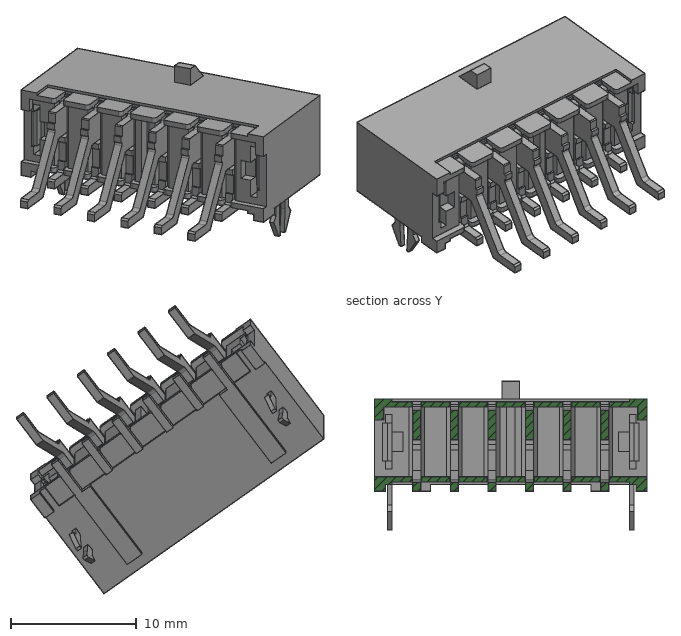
import cadquery as cq
import math


body_width = 21.7
body_depth = 9.87
body_top = 7.35
standoff = 0.52
half_width = body_width / 2

lip_depth = 0.52
wall_bottom = 1.17
wall_top = 6.7
wall_half_width = 10.11
side_notch_top = 5.66
rear_depth = 1.9
slot_depth = 1.85
recess_height = 0.22
recess_half_width = 9.45

pin_count = 6
pin_pitch = 3.0
pin_width = 0.65
pin_tip_chamfer = 0.15
foot_height = 0.74
pin_centres = [(i - (pin_count - 1) / 2) * pin_pitch for i in range(pin_count)]
slot_flare = 0.3

upper_reach = 6.03
upper_bottom = 4.1
upper_top = 6.47
upper_head_end = 1.17
upper_head_chamfer = 0.09
upper_bump_end = 1.39
upper_neck_end = 1.24
upper_bump_bottom = 5.08
upper_bump_top = 5.6
upper_neck_bottom = 4.9
leg_slope = math.radians(56.3)
leg_heel = 3.36
bend_radius = 0.43
neck_radius = 0.33
crown_height = 6.77
crown_start = 1.02
crown_radius = 0.13
crown_end = 1.67
root_height = 6.92

lower_reach = 1.35
lower_top = 3.73
lower_bump_bottom = 3.28
lower_base_top = 1.65
lower_front = 0.52
lower_neck_front = 0.67

end_foot_width = 0.9
inner_foot_near = 6.38
inner_foot_far = 7.83
inner_foot_back = 8.9

latch_width = 1.43
latch_height = 1.4
latch_front = 7.03
latch_flat = 0.8

groove_width = 0.67
groove_depth = 1.0

clip_inner = 9.45
clip_thickness = 0.4
clip_centre = 5.27
clip_gap = 0.95
clip_half_width = 1.1
clip_barb_half_width = 1.48
clip_bottom = -3.1
clip_shoulder = -1.1
clip_barb = -1.6
clip_tip_inner = 0.35
clip_tip_outer = 0.59
clip_flare = 0.28
slit_depth = 1.3
clip_setback = 1.0
slit_outer = 9.98
slit_bottom = 1.78
slit_top = 6.1
relief_outer = 10.2
relief_depth = 0.3
relief_bottom = 2.43
relief_top = 5.45
window_inner = 8.57
window_bottom = 3.17
window_top = 4.7
window_depth = 0.8


def block(x0, x1, y0, y1, z0, z1):
    """Box between two opposite corners."""
    return cq.Workplane("XY").box(x1 - x0, y1 - y0, z1 - z0, centered=False).translate((x0, y0, z0))


def side_plate(points, x_centre, thickness):
    """Plate of a (Y, Z) outline, centred on x_centre."""
    plate = cq.Workplane("YZ").polyline(points).close().extrude(thickness / 2, both=True)
    return plate.translate((x_centre, 0, 0))


def mirrored(shape):
    """The shape together with its mirror image across X = 0."""
    return shape.union(shape.mirror("YZ"))


def housing():
    body = block(-half_width, half_width, 0, body_depth, standoff, body_top)
    body = body.cut(block(-wall_half_width, wall_half_width, 0, lip_depth, wall_bottom, wall_top))
    body = body.cut(block(-half_width, half_width, 0, lip_depth, wall_bottom, side_notch_top))
    for z in (standoff, body_top - recess_height):
        body = body.cut(block(-recess_half_width, recess_half_width, 0, rear_depth,
                              z, z + recess_height))
    body = body.cut(block(-groove_width / 2, groove_width / 2, lip_depth, lip_depth + groove_depth,
                          wall_bottom, wall_top))
    end_foot = block(-half_width, end_foot_width - half_width, 0, rear_depth, 0, standoff)
    inner_foot = block(-inner_foot_far, -inner_foot_near, rear_depth, inner_foot_back, 0, standoff)
    return body.union(mirrored(end_foot.union(inner_foot)))


def pin_slot(x_centre):
    """Full-height slot: rounded where it crosses the lips, chamfered where it meets the wall."""
    half = pin_width / 2
    flared = half + slot_flare
    arc_inset = slot_flare * (1 - math.sqrt(0.5))
    through_lips = (
        cq.Workplane("XY").workplane(offset=standoff)
        .moveTo(-flared, 0)
        .threePointArc((-half - arc_inset, arc_inset), (-half, slot_flare))
        .lineTo(-half, slot_depth)
        .lineTo(half, slot_depth)
        .lineTo(half, slot_flare)
        .threePointArc((half + arc_inset, arc_inset), (flared, 0))
        .close()
        .extrude(body_top - standoff)
    )
    wall_chamfer = (
        cq.Workplane("XY").workplane(offset=wall_bottom)
        .polyline([(-flared, lip_depth), (-half, lip_depth + slot_flare),
                   (half, lip_depth + slot_flare), (flared, lip_depth)])
        .close()
        .extrude(wall_top - wall_bottom)
    )
    return through_lips.union(wall_chamfer).translate((x_centre, 0, 0))


def upper_pin(x_centre):
    run = math.tan(leg_slope)
    knee_under = leg_heel - upper_bottom / run
    knee_over = upper_neck_end + (upper_neck_bottom - foot_height) / run
    points = [
        (rear_depth, upper_bottom),
        (-knee_under, upper_bottom),
        (-leg_heel, 0),
        (-upper_reach, 0),
        (-upper_reach, foot_height - pin_tip_chamfer),
        (-upper_reach + pin_tip_chamfer, foot_height),
        (-knee_over, foot_height),
        (-upper_neck_end, upper_neck_bottom),
        (-upper_neck_end, upper_bump_bottom),
        (-upper_bump_end, upper_bump_bottom),
        (-upper_bump_end, upper_bump_top),
        (-upper_head_end, upper_bump_top),
        (-upper_head_end, upper_top - upper_head_chamfer),
        (-upper_head_end + upper_head_chamfer, upper_top),
        (crown_start, upper_top),
        (crown_start, crown_height),
        (crown_end, crown_height),
        (crown_end, root_height),
        (rear_depth, root_height),
    ]
    pin = side_plate(points, x_centre, pin_width)
    rounded_corners = [
        (-knee_under, upper_bottom, bend_radius),
        (-knee_over, foot_height, bend_radius),
        (-upper_neck_end, upper_neck_bottom, neck_radius),
        (crown_start, upper_top, crown_radius),
        (crown_start, crown_height, crown_radius),
    ]
    for y, z, radius in rounded_corners:
        pin = pin.edges(cq.selectors.NearestToPointSelector((x_centre, y, z))).fillet(radius)
    return pin


def lower_pin(x_centre):
    points = [
        (rear_depth, 0),
        (-lower_reach, 0),
        (-lower_reach, foot_height - pin_tip_chamfer),
        (-lower_reach + pin_tip_chamfer, foot_height),
        (lower_front - pin_tip_chamfer, foot_height),
        (lower_front, foot_height + pin_tip_chamfer),
        (lower_front, lower_base_top),
        (lower_neck_front, lower_base_top),
        (lower_neck_front, lower_bump_bottom),
        (lower_front, lower_bump_bottom),
        (lower_front, lower_top),
        (rear_depth, lower_top),
    ]
    return side_plate(points, x_centre, pin_width)


def latch():
    back = latch_front + latch_flat + latch_height
    top = body_top + latch_height
    points = [(latch_front, body_top), (latch_front, top),
              (latch_front + latch_flat, top), (back, body_top)]
    return side_plate(points, 0, latch_width)


def clip_pocket():
    """Stepped opening in the rear wall that shows the end of a board-lock clip."""
    def cut_in(x_outer, x_inner, depth, z0, z1):
        return block(-x_outer, -x_inner, lip_depth, lip_depth + depth, z0, z1)

    clip_outer = clip_inner + clip_thickness
    lower_slit = cut_in(slit_outer, clip_inner, slit_depth, slit_bottom, relief_bottom)
    upper_slit = cut_in(slit_outer, clip_inner, slit_depth, relief_top, slit_top)
    clip_slot = cut_in(clip_outer, clip_inner, clip_setback, relief_bottom, relief_top)
    relief = cut_in(relief_outer, clip_outer, relief_depth, relief_bottom, relief_top)
    window = cut_in(clip_inner, window_inner, window_depth, window_bottom, window_top)
    return lower_slit.union(upper_slit).union(clip_slot).union(relief).union(window)


def clip_legs():
    """Two barbed board-lock legs below the housing."""
    clip_x = -clip_inner - clip_thickness / 2
    leg_points = [
        (clip_half_width, standoff),
        (clip_half_width, clip_shoulder),
        (clip_barb_half_width, clip_barb),
        (clip_tip_outer, clip_bottom),
        (clip_tip_inner, clip_bottom),
        (clip_gap / 2, clip_shoulder),
        (clip_gap / 2, standoff - clip_flare),
        (clip_gap / 2 + clip_flare, standoff),
    ]
    leg = side_plate(leg_points, clip_x, clip_thickness)
    return leg.union(leg.mirror("XZ")).translate((0, clip_centre, 0))


result = housing().union(latch())
result = result.cut(mirrored(clip_pocket())).union(mirrored(clip_legs()))
for pin_x in pin_centres:
    result = result.cut(pin_slot(pin_x))
    result = result.union(upper_pin(pin_x)).union(lower_pin(pin_x))